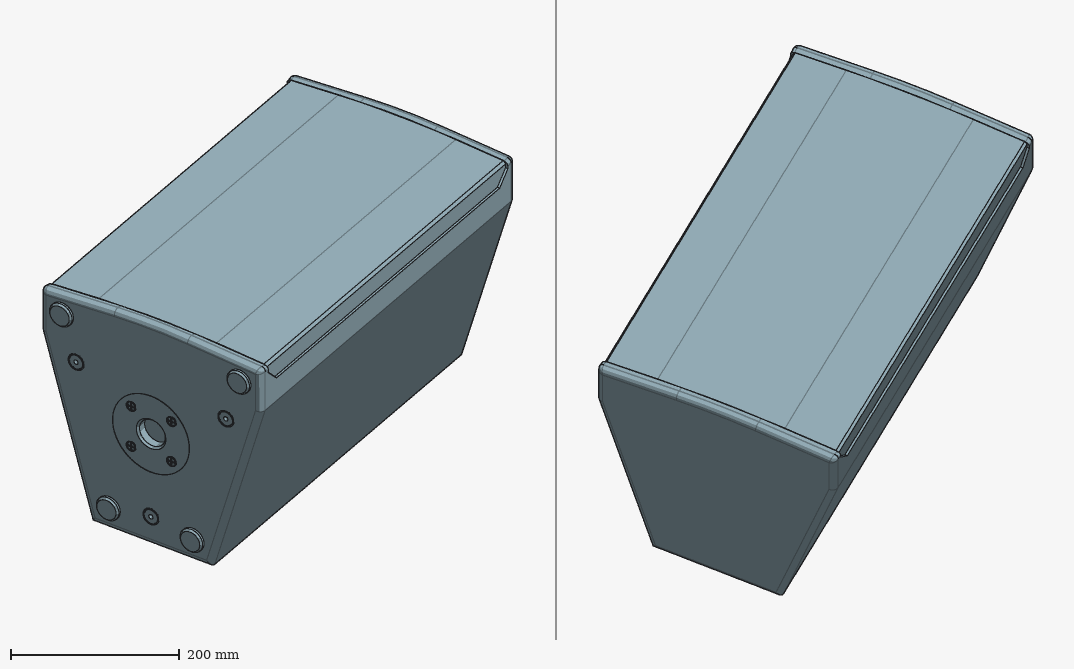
import cadquery as cq

width = 315.0
length = 548.0
height = 319.0

bottom_width = 171.5
kink_height = 249.5
shoulder_height = 306.0
crown_sag = 1.5

cap_thickness = 15.5
cap_arc_half_width = 52.5
cap_flank_slope = 0.066
cap_corner_radius = 5.5
cap_edge_radius = 8.0
cap_lip_run = 6.5
cap_lip_drop = 1.5

grille_step = 3.0
grille_half_width = 151.0
grille_arc_half_width = 84.0
grille_flank_slope = 0.07

recess_depth = 3.5
recess_floor = 282.0
recess_shoulder = 300.5
recess_end_run = 17.5

foot_height = 5.5
foot_base_diameter = 32.5
foot_edge = 2.45
upper_foot = (126.5, 284.5)
lower_foot = (60.0, 30.5)

bolt_diameter = 19.0
bolt_recess_diameter = 22.5
bolt_socket_diameter = 6.0
bolt_socket_depth = 3.5
bolt_positions = [(-107.0, 222.5), (107.0, 222.5), (0, 40.5)]

plate_centre_height = 159.5
plate_diameter = 109.5
plate_recess = 0.5
pole_hole_diameter = 36.5
pole_hole_chamfer = 3.0
pole_hole_depth = 13.5
screw_pitch = 57.5
screw_head_diameter = 11.5
screw_recess_diameter = 13.5
cross_length = 10.0
cross_width = 1.5
cross_depth = 1.5
head_groove_depth = 1.5

half_width = width / 2
front_y = foot_height - length / 2
body_centre_y = foot_height / 2
cap_inner_y = (length - foot_height) / 2 - cap_thickness
plate_y = front_y + plate_recess


def front_plane(y):
    """Sketch plane facing -Y, with the local axes along X and Z."""
    return cq.Workplane("XZ", origin=(0, y, 0))


def crowned_section(y, peak, arc_half_width, corner_points):
    """Closed outline in the plane at y: tapered sides under a crowned top.

    corner_points run up from the vertical side to the flat flank of the crown, on the +X side.
    """
    arc_end = (arc_half_width, peak - crown_sag)
    right_side = [(bottom_width / 2, 0), (half_width, kink_height)] + corner_points + [arc_end]
    left_side = [(-x, z) for x, z in reversed(right_side)]
    return (
        front_plane(y)
        .polyline(right_side)
        .threePointArc((0, peak), left_side[0])
        .polyline(left_side[1:], includeCurrent=True)
        .close()
    )


def cap_section(y, peak):
    """Outline of an end cap in the plane at y, with sharp top corners."""
    flank_fall = cap_flank_slope * (half_width - cap_arc_half_width)
    corner = (half_width, peak - crown_sag - flank_fall)
    return crowned_section(y, peak, cap_arc_half_width, [corner])


def round_top_corners(solid):
    """Round the two edges where the top flanks meet the vertical sides."""
    above_shoulder = cq.selectors.BoxSelector(
        (-width, -length, shoulder_height), (width, length, height)
    )
    lengthwise = solid.edges(above_shoulder).edges("not(#Y)")
    return lengthwise.edges("<X or >X").fillet(cap_corner_radius)


def end_cap():
    """Front cap: a rim with a rounded outer edge, then a lip whose top slopes down inwards."""
    lip_start = front_y + cap_thickness - cap_lip_run
    lip_end = front_y + cap_thickness
    rim = round_top_corners(cap_section(lip_start, height).extrude(lip_start - front_y))
    rim = rim.faces("<Y").edges().fillet(cap_edge_radius)
    lip_outlines = [
        cap_section(lip_start, height).val(),
        cap_section(lip_end, height - cap_lip_drop).val(),
    ]
    lip = round_top_corners(cq.Workplane(cq.Solid.makeLoft(lip_outlines, True)))
    return rim.union(lip)


def recess_cutter(inner_x, outer_x):
    """Prism between two x positions with the side recess outline: sloped ends, flat floor."""
    shoulder_y = cap_inner_y
    floor_y = shoulder_y - recess_end_run
    outline = [
        (-floor_y, recess_floor),
        (floor_y, recess_floor),
        (shoulder_y, recess_shoulder),
        (shoulder_y, height),
        (-shoulder_y, height),
        (-shoulder_y, recess_shoulder),
    ]
    return (
        cq.Workplane("YZ", origin=(inner_x, body_centre_y, 0))
        .polyline(outline)
        .close()
        .extrude(outer_x - inner_x)
    )


def grille_body():
    """Cabinet between the caps: lower crowned top, bevelled edges, side recesses."""
    peak = height - grille_step
    flank_fall = grille_flank_slope * (grille_half_width - grille_arc_half_width)
    bevel_foot = (half_width - recess_depth, shoulder_height)
    flank_edge = (grille_half_width, peak - crown_sag - flank_fall)
    body = crowned_section(
        body_centre_y + cap_inner_y,
        peak,
        grille_arc_half_width,
        [(half_width, shoulder_height), bevel_foot, flank_edge],
    ).extrude(2 * cap_inner_y)
    for side in (-1, 1):
        body = body.cut(recess_cutter(side * (half_width - recess_depth), side * half_width))
    return body


def disc(y, diameter, depth, positions):
    """Cylinders from the plane at y going depth into the front, at (x, z) positions."""
    return front_plane(y).pushPoints(positions).circle(diameter / 2).extrude(-depth)


def cone(y, front_radius, back_radius, depth, position):
    """Cone from the plane at y going depth into the front, centred at an (x, z) position."""
    x, z = position
    inward = cq.Vector(0, 1, 0)
    return cq.Solid.makeCone(
        front_radius, back_radius, depth, pnt=cq.Vector(x, y, z), dir=inward
    )


def foot(position):
    """Round rubber foot with a bevelled rim."""
    pad = front_plane(front_y).pushPoints([position]).circle(foot_base_diameter / 2)
    return pad.extrude(foot_height).faces("<Y").chamfer(foot_edge)


def head_groove(y, head_diameter, recess_diameter, positions):
    """Clearance rings around screw heads that sit flush in the plane at y."""
    ring = disc(y, recess_diameter, head_groove_depth, positions)
    return ring.cut(disc(y, head_diameter, head_groove_depth, positions))


def pole_socket():
    """Cutter for the sunk plate with its central hole and four cross-head screws."""
    centre = [(0, plate_centre_height)]
    offset = screw_pitch / 2
    screws = [
        (x, plate_centre_height + z) for x in (-offset, offset) for z in (-offset, offset)
    ]
    cutter = disc(front_y, plate_diameter, plate_recess, centre)
    cutter = cutter.union(disc(plate_y, pole_hole_diameter, pole_hole_depth, centre))
    mouth_radius = pole_hole_diameter / 2 + pole_hole_chamfer
    mouth = cone(plate_y, mouth_radius, pole_hole_diameter / 2, pole_hole_chamfer, centre[0])
    cutter = cutter.union(cq.Workplane(mouth))
    cutter = cutter.union(head_groove(plate_y, screw_head_diameter, screw_recess_diameter, screws))
    for slot_size in ((cross_length, cross_width), (cross_width, cross_length)):
        slots = front_plane(plate_y).pushPoints(screws).rect(*slot_size).extrude(-cross_depth)
        cutter = cutter.union(slots)
    return cutter


front_cap = end_cap()
back_cap = front_cap.mirror("XZ", (0, body_centre_y, 0))
result = grille_body().union(front_cap).union(back_cap)

for foot_x, foot_z in (upper_foot, lower_foot):
    for side in (-1, 1):
        result = result.union(foot((side * foot_x, foot_z)))

result = result.cut(head_groove(front_y, bolt_diameter, bolt_recess_diameter, bolt_positions))
for bolt in bolt_positions:
    socket = cone(front_y, bolt_socket_diameter / 2, 0, bolt_socket_depth, bolt)
    result = result.cut(cq.Workplane(socket))
result = result.cut(pole_socket())